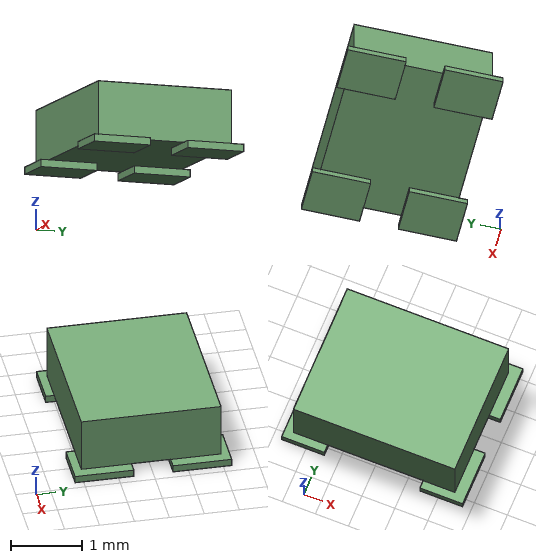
import cadquery as cq

overall_length = 2.74
overall_width = 2.24
overall_height = 0.9

pad_length = 0.647
pad_width = 0.84
pad_thickness = 0.105

body_length = 2.447
body_width = 2.0
body_offset_x = -0.02
body_height = overall_height - pad_thickness

pad_center_x = (overall_length - pad_length) / 2
pad_center_y = (overall_width - pad_width) / 2


def make_body():
    """Plain block whose underside lies on the top faces of the pads."""
    return (
        cq.Workplane("XY")
        .workplane(offset=pad_thickness)
        .center(body_offset_x, 0)
        .rect(body_length, body_width)
        .extrude(body_height)
    )


def make_pad(side_x, side_y):
    """Flat pad in the corner given by the signs of X and Y."""
    return (
        cq.Workplane("XY")
        .center(side_x * pad_center_x, side_y * pad_center_y)
        .rect(pad_length, pad_width)
        .extrude(pad_thickness)
    )


body = make_body()
pads = [make_pad(side_x, side_y) for side_x in (-1, 1) for side_y in (-1, 1)]

result = cq.Compound.makeCompound([body.val(), *[pad.val() for pad in pads]])